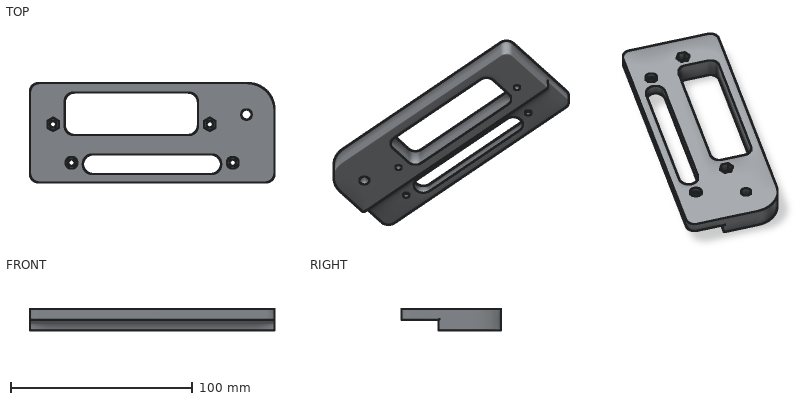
import cadquery as cq
import math

length = 135.0
width = 55.0
height = 12.0
flange_thickness = 6.2
step_y = 20.4
corner_radius = 5.0
large_corner_radius = 15.0
edge_radius = 0.8

window_left = 19.3
window_right = 92.6
window_front = 26.3
window_back = 49.5
window_corner_radius = 5.0

slot_left = 29.3
slot_right = 105.5
slot_width = 10.7
slot_center_y = 10.1

screw_diameter = 3.5
nut_centers = [(12.8, 32.1), (99.2, 32.1)]
nut_across_flats = 6.3
nut_depth = 6.0
head_centers = [(23.0, 11.0), (111.9, 11.0)]
head_diameter = 6.5
head_depth = 3.0

plain_hole_center = (119.5, 37.5)
plain_hole_diameter = 5.5


def make_body():
    """Stepped plate with rounded corners and rounded lower edges."""
    body = cq.Workplane("XY").box(length, width, height, centered=False)
    body = body.edges("|Z").edges("<X or (>X and <Y)").fillet(corner_radius)
    body = body.edges("|Z").edges(">(1, 1, 0)").fillet(large_corner_radius)
    step = cq.Workplane("XY").box(length, step_y, height - flange_thickness, centered=False)
    body = body.cut(step)

    underside = body.faces("<Z").edges()
    flange_underside = body.faces("-Z").faces(">Z").edges("not(|X and >Y)")
    step_ends = body.edges("|Z").filter(
        lambda edge: abs(edge.Center().y - step_y) < edge_radius
    )
    return body.newObject(underside.vals() + flange_underside.vals() + step_ends.vals()).fillet(edge_radius)


def vertical_holes(centers, diameter, depth):
    """Round cutters reaching down from the top face."""
    top = cq.Workplane("XY").workplane(offset=height)
    return top.pushPoints(centers).circle(diameter / 2).extrude(-depth)


def make_window():
    window = cq.Workplane("XY").box(
        window_right - window_left, window_back - window_front, height, centered=False
    )
    window = window.edges("|Z").fillet(window_corner_radius)
    return window.translate((window_left, window_front, 0))


def make_slot():
    slot = cq.Workplane("XY").center((slot_left + slot_right) / 2, slot_center_y)
    return slot.slot2D(slot_right - slot_left, slot_width).extrude(height)


def make_nut_pockets():
    """Hexagonal pockets with two corners pointing along Y."""
    across_corners = nut_across_flats / math.cos(math.pi / 6)
    hexagon = cq.Sketch().regularPolygon(across_corners / 2, 6)
    top = cq.Workplane("XY").workplane(offset=height)
    return top.pushPoints(nut_centers).placeSketch(hexagon).extrude(-nut_depth)


result = (
    make_body()
    .cut(make_window())
    .cut(make_slot())
    .cut(vertical_holes(nut_centers + head_centers, screw_diameter, height))
    .cut(make_nut_pockets())
    .cut(vertical_holes(head_centers, head_diameter, head_depth))
    .cut(vertical_holes([plain_hole_center], plain_hole_diameter, height))
)